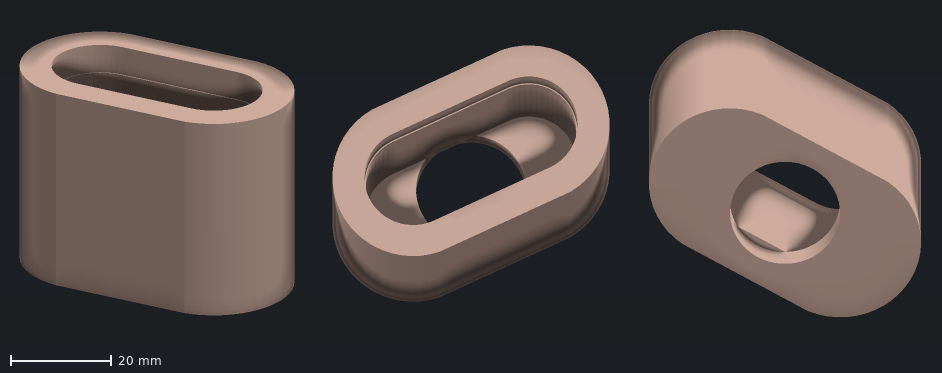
import cadquery as cq
import math

length = 57.65
width = 32.0
height = 42.0

end_center_x = 12.75

mouth_end_radius = 9.75
mouth_width = 19.5
mouth_depth = 6.0
ledge = 0.3
floor_thickness = 6.35

hole_diameter = 21.9


def rounded_bar(end_radius, bar_width, bottom_z, bar_height):
    """Bar along X with two flat sides and ends that are arcs about the shared centres."""
    half_width = bar_width / 2
    tip_x = end_center_x + end_radius
    flat_end_x = end_center_x + math.sqrt(end_radius**2 - half_width**2)
    return (
        cq.Workplane("XY", origin=(0, 0, bottom_z))
        .moveTo(-flat_end_x, -half_width)
        .lineTo(flat_end_x, -half_width)
        .threePointArc((tip_x, 0), (flat_end_x, half_width))
        .lineTo(-flat_end_x, half_width)
        .threePointArc((-tip_x, 0), (-flat_end_x, -half_width))
        .close()
        .extrude(bar_height)
    )


body = rounded_bar(length / 2 - end_center_x, width, 0, height)

pocket = rounded_bar(
    mouth_end_radius - ledge,
    mouth_width - 2 * ledge,
    floor_thickness,
    height - floor_thickness,
)

mouth = rounded_bar(mouth_end_radius, mouth_width, height - mouth_depth, mouth_depth)

floor_hole = cq.Workplane("XY").circle(hole_diameter / 2).extrude(floor_thickness)

result = body.cut(pocket).cut(mouth).cut(floor_hole)